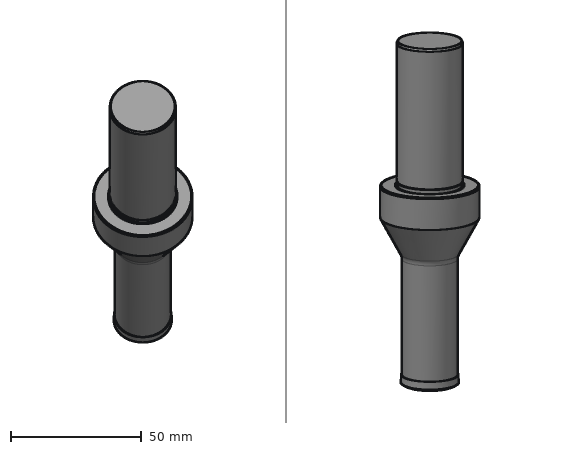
import cadquery as cq
import math

total_length = 136.4
shank_length = 57.15
collar_top = total_length - shank_length
collar_height = 12.7
collar_bottom = collar_top - collar_height
relief_height = 1.3
tip_height = 4.3
tip_corner_height = 1.3
tip_edge_mid_height = 0.6

collar_radius = 38.1 / 2
shank_radius = 25.4 / 2
relief_step = 0.4
recess_margin = 0.6
recess_radius = shank_radius + recess_margin
relief_radius = shank_radius - relief_step
neck_radius = 21.5 / 2
tip_step = 0.2
tip_top_radius = neck_radius + tip_step
tip_corner_radius = 22.4 / 2
tip_edge_mid_radius = 10.2
tip_face_radius = 8.0

shank_chamfer_width = 0.5
shank_chamfer_height = 1.0
collar_chamfer = 0.5
recess_depth = 0.3
neck_fillet = 4.2
cone_half_angle = math.radians(28.4)

cone_length = (collar_radius - neck_radius) / math.tan(cone_half_angle)
cone_bottom = collar_bottom - cone_length
fillet_setback = neck_fillet * math.tan(cone_half_angle / 2)
fillet_top_radius = neck_radius + fillet_setback * math.sin(cone_half_angle)
fillet_top = cone_bottom + fillet_setback * math.cos(cone_half_angle)
fillet_bottom = cone_bottom - fillet_setback
fillet_mid_radius = neck_radius + neck_fillet * (1 - math.cos(cone_half_angle / 2))
fillet_mid = fillet_bottom + neck_fillet * math.sin(cone_half_angle / 2)


def make_holder():
    """Shank, relief groove, collar, cone and neck, turned as one body standing on the tip."""
    relief_top = collar_top + relief_height
    profile = (
        cq.Workplane("XZ")
        .moveTo(0, tip_height)
        .lineTo(neck_radius, tip_height)
        .lineTo(neck_radius, fillet_bottom)
        .threePointArc((fillet_mid_radius, fillet_mid), (fillet_top_radius, fillet_top))
        .lineTo(collar_radius, collar_bottom)
        .lineTo(collar_radius, collar_top - collar_chamfer)
        .lineTo(collar_radius - collar_chamfer, collar_top)
        .lineTo(recess_radius, collar_top)
        .lineTo(recess_radius - recess_depth, collar_top - recess_depth)
        .lineTo(relief_radius, collar_top - recess_depth)
        .lineTo(relief_radius, relief_top)
        .lineTo(shank_radius, relief_top + relief_step)
        .lineTo(shank_radius, total_length - shank_chamfer_height)
        .lineTo(shank_radius - shank_chamfer_width, total_length)
        .lineTo(0, total_length)
        .close()
    )
    return profile.revolve(360, (0, 0, 0), (0, 1, 0))


def make_tip():
    """Cutting tip: flares down to its corner, then curves in to a flat end face."""
    profile = (
        cq.Workplane("XZ")
        .lineTo(tip_face_radius, 0)
        .threePointArc((tip_edge_mid_radius, tip_edge_mid_height), (tip_corner_radius, tip_corner_height))
        .lineTo(tip_top_radius, tip_height)
        .lineTo(0, tip_height)
        .close()
    )
    return profile.revolve(360, (0, 0, 0), (0, 1, 0))


holder = make_holder()
tip = make_tip()

result = cq.Compound.makeCompound([holder.val(), tip.val()])